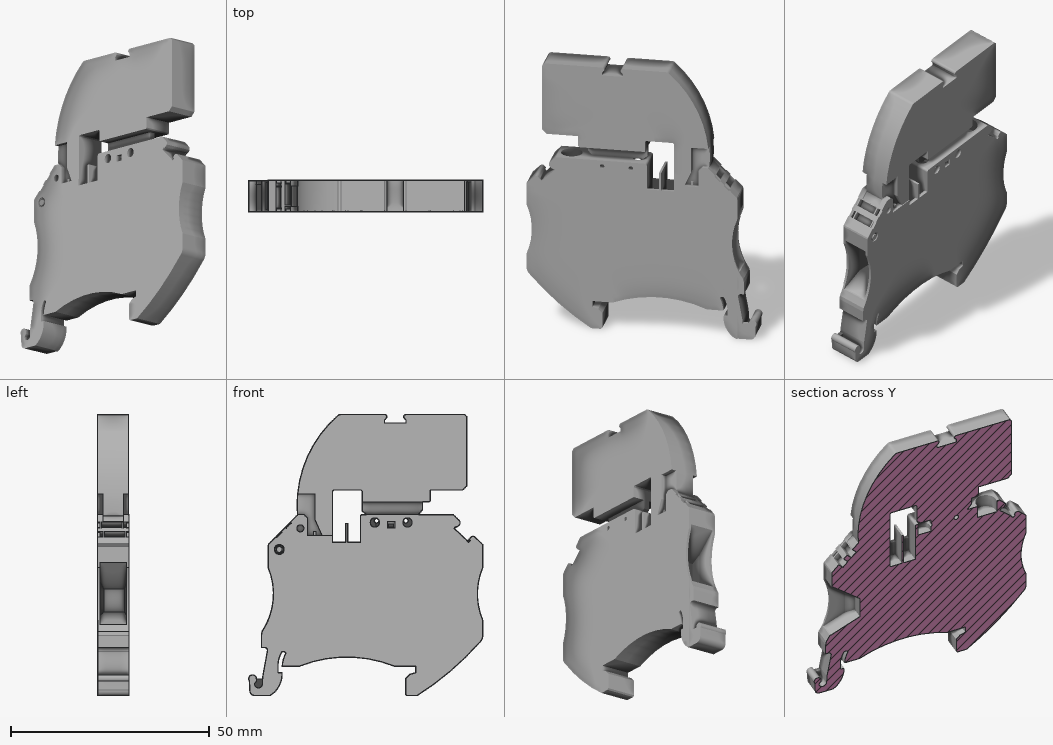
import cadquery as cq
import math

LENGTH = 58.9
DEPTH = 8.0
HEIGHT = 70.7
MID_Y = DEPTH / 2

RAIL_Z = 7.35
CATCH_Z = 5.8
SHOULDER_Z = 37.95
DECK_Z = 45.5
SEAT_Z = 40.3
WINDOW_Z = 38.6
PLUG_Z = 51.7
BOSS_Z = 48.7

SIDE_X = 4.9
LUG_X = 3.2
MARKER_TOP_X = 12.4
SEAT_X = 14.85
LEG_X = 21.15
WINDOW_X = 28.05
BOSS_X = 28.55

KNOB_RADIUS = 1.0
KNOB_Z = 4.25

HOLLOW_TOP_Z = 32.2
HOLLOW_BOTTOM_Z = 18.95
HOLLOW_MID_Z = (HOLLOW_TOP_Z + HOLLOW_BOTTOM_Z) / 2
HOLLOW_DEPTH = 1.35
HOLLOW_HALF = (HOLLOW_TOP_Z - HOLLOW_BOTTOM_Z) / 2
HOLLOW_RADIUS = (HOLLOW_HALF ** 2 + HOLLOW_DEPTH ** 2) / (2 * HOLLOW_DEPTH)
LUG_TOP_Z = 16.1
LUG_TOP_X = SIDE_X + HOLLOW_DEPTH - HOLLOW_RADIUS + math.sqrt(
    HOLLOW_RADIUS ** 2 - (HOLLOW_MID_Z - LUG_TOP_Z) ** 2
)

PLUG_INSET = 0.15
BACK_STEP = 0.15
CHEEK = 1.4


def plane_at(y):
    """XZ workplane at depth y."""
    return cq.Workplane("XZ", origin=(0, y, 0))


def thick(outline, thickness):
    """Extrude an XZ outline toward +Y."""
    return outline.extrude(-thickness)


def block(x0, x1, y0, y1, z0, z1):
    """Box given by its limits along each axis."""
    return cq.Workplane("XY").box(x1 - x0, y1 - y0, z1 - z0, centered=False).translate((x0, y0, z0))


def front_hole(x, z, diameter, depth):
    """Round cutter entering the front face."""
    return thick(plane_at(0).center(x, z).circle(diameter / 2), depth)


def make_housing():
    """Housing plate with its rail foot and spring hook."""
    knob_drop = 0.6
    knob_start_x = KNOB_RADIUS - math.sqrt(KNOB_RADIUS ** 2 - knob_drop ** 2)
    outline = (
        plane_at(0)
        .moveTo(SIDE_X, SHOULDER_Z - 0.3)
        .lineTo(SIDE_X + 0.15, SHOULDER_Z + 0.15)
        .lineTo(MARKER_TOP_X, DECK_Z)
        .lineTo(13.9, DECK_Z)
        .lineTo(SEAT_X, DECK_Z - 0.9)
        .lineTo(SEAT_X, SEAT_Z)
        .lineTo(LEG_X, SEAT_Z)
        .lineTo(LEG_X, WINDOW_Z)
        .lineTo(WINDOW_X, WINDOW_Z)
        .lineTo(WINDOW_X, DECK_Z - 0.6)
        .radiusArc((WINDOW_X + 0.6, DECK_Z), 0.6)
        .lineTo(51.45, DECK_Z)
        .lineTo(53.15, 43.8)
        .lineTo(53.15, 43.1)
        .lineTo(52.6, 42.55)
        .lineTo(51.7, 42.05)
        .lineTo(55.1, 38.9)
        .lineTo(55.85, 39.8)
        .threePointArc((56.4, 40.1), (56.9, 39.9))
        .lineTo(LENGTH, SHOULDER_Z)
        .lineTo(LENGTH, HOLLOW_TOP_Z)
        .threePointArc((LENGTH - HOLLOW_DEPTH, HOLLOW_MID_Z), (LENGTH, HOLLOW_BOTTOM_Z))
        .lineTo(LENGTH, 15.2)
        .threePointArc((58.7, 14.2), (58.05, 13.35))
        .threePointArc((51.05, 6.4), (42.35, 0))
        .lineTo(39.8, 0)
        .lineTo(39.45, 0.35)
        .lineTo(39.45, 4.3)
        .lineTo(40.5, 5.4)
        .lineTo(42.0, CATCH_Z)
        .lineTo(42.0, RAIL_Z)
        .lineTo(36.75, RAIL_Z)
        .threePointArc((24.7, 9.7), (12.65, RAIL_Z))
        .lineTo(8.4, RAIL_Z)
        .threePointArc((8.7, 9.05), (9.3, 10.7))
        .threePointArc((9.0, 11.0), (8.35, 10.95))
        .threePointArc((7.6, 9.25), (7.4, RAIL_Z))
        .lineTo(7.4, CATCH_Z)
        .lineTo(8.4, CATCH_Z)
        .threePointArc((7.5, 2.1), (5.4, 0))
        .lineTo(1.55, 0)
        .threePointArc((0.65, 0.4), (0.3, 1.4))
        .lineTo(knob_start_x, KNOB_Z - knob_drop)
        .threePointArc((KNOB_RADIUS, KNOB_Z + KNOB_RADIUS), (2 * KNOB_RADIUS, KNOB_Z))
        .lineTo(2 * KNOB_RADIUS, 3.6)
        .lineTo(1.5, 3.05)
        .threePointArc((2.3, 2.0), (3.45, 3.05))
        .lineTo(3.5, 4.9)
        .lineTo(4.7, 11.1)
        .threePointArc((4.6, 11.8), (4.0, 12.1))
        .lineTo(LUG_X, 12.1)
        .lineTo(LUG_X, 15.1)
        .lineTo(LUG_TOP_X, LUG_TOP_Z)
        .threePointArc((SIDE_X + HOLLOW_DEPTH, HOLLOW_MID_Z), (SIDE_X, HOLLOW_TOP_Z))
        .close()
    )
    housing = thick(outline, DEPTH)
    foot_back = block(0, SIDE_X, DEPTH - BACK_STEP, DEPTH, 0, SHOULDER_Z)
    return housing.cut(foot_back)


def make_hook_web():
    """Thin web that closes the spring hook at its back."""
    web = 1.0
    back = DEPTH - BACK_STEP
    return block(1.4, 3.5, back - web, back, 2.0, KNOB_Z)


def make_plug():
    """Plug head, boss and leg, set slightly behind the housing front."""
    outline = (
        plane_at(PLUG_INSET)
        .moveTo(12.3, SEAT_Z)
        .lineTo(12.3, 45.25)
        .threePointArc((16.0, 62.5), (22.4, 70.4))
        .threePointArc((22.75, 70.6), (23.2, HEIGHT))
        .lineTo(34.2, HEIGHT)
        .threePointArc((34.65, 70.5), (34.8, 70.0))
        .lineTo(34.2, 69.3)
        .lineTo(34.2, 68.6)
        .lineTo(39.5, 68.6)
        .lineTo(39.5, 69.3)
        .lineTo(38.95, 70.0)
        .threePointArc((39.1, 70.5), (39.5, HEIGHT))
        .lineTo(54.3, HEIGHT)
        .lineTo(54.85, HEIGHT - 0.6)
        .lineTo(54.85, 52.7)
        .lineTo(53.8, PLUG_Z)
        .lineTo(45.7, PLUG_Z)
        .lineTo(45.7, BOSS_Z + 0.3)
        .lineTo(45.4, BOSS_Z)
        .lineTo(BOSS_X, BOSS_Z)
        .lineTo(BOSS_X, PLUG_Z - 0.3)
        .lineTo(BOSS_X - 0.3, PLUG_Z)
        .lineTo(LEG_X + 0.3, PLUG_Z)
        .lineTo(LEG_X, PLUG_Z - 0.3)
        .lineTo(LEG_X, SEAT_Z)
        .close()
    )
    return thick(outline, DEPTH - PLUG_INSET)


def make_leg_relief():
    """Cutters that narrow the outer edge of the plug leg on both faces."""
    outside_x = 7.1
    inner_x = 16.7
    top_z = 50.75
    outline = (
        plane_at(0)
        .moveTo(outside_x, top_z)
        .lineTo(inner_x, top_z)
        .lineTo(inner_x, 44.25)
        .lineTo(18.45, SEAT_Z)
        .lineTo(outside_x, SEAT_Z)
        .close()
    )
    front = thick(outline, CHEEK)
    return front.union(front.translate((0, DEPTH - CHEEK, 0)))


def make_relief_tabs():
    """Small tabs on the notch floor beside the narrowed leg."""
    tab = block(16.25, 16.9, CHEEK / 2, CHEEK, SEAT_Z, SEAT_Z + 1.0)
    return tab.union(tab.mirror("XZ", (0, MID_Y, 0)))


def make_nose():
    """Thin nose under the plug boss, resting on the housing deck."""
    nose_thickness = 1.6
    right = 43.75
    corner = 1.05
    outline = (
        plane_at(MID_Y - nose_thickness / 2)
        .moveTo(BOSS_X, BOSS_Z)
        .lineTo(BOSS_X, DECK_Z + 0.85)
        .lineTo(BOSS_X + corner, DECK_Z)
        .lineTo(right - corner, DECK_Z)
        .lineTo(right, DECK_Z + 1.3)
        .lineTo(right, BOSS_Z)
        .close()
    )
    return thick(outline, nose_thickness)


def make_fin():
    """Upright contact fin in the window."""
    root = 4.25
    return block(24.4, 24.95, 0, DEPTH, WINDOW_Z - root, 43.3)


def make_wells():
    """Round wells sunk into the deck at both ends of the nose."""
    well_depth = 3.5
    left_diameter = 3.5
    right_diameter = 5.4
    deck = cq.Workplane("XY", origin=(0, MID_Y, DECK_Z))
    left_well = deck.center(30.7, 0).circle(left_diameter / 2).extrude(-well_depth)
    right_well = deck.center(48.1, 0).circle(right_diameter / 2).extrude(-well_depth)
    return left_well.union(right_well)


def make_window_pit():
    """Pit below the window floor that leaves thin walls at front and back."""
    wall = 0.85
    pit_depth = 4.25
    return block(LEG_X, WINDOW_X, wall, DEPTH - wall, WINDOW_Z - pit_depth, WINDOW_Z)


def make_wire_funnel():
    """Tapering wire entry in the left grip hollow."""
    end_x = 12.7
    taper_x = 10.45
    mouth_x = 4.8
    mouth_top_z = 33.5
    mouth_bottom_z = 17.9
    mouth_front_y = 0.65
    mouth_back_y = 7.35
    profile = (
        plane_at(0)
        .moveTo(0, mouth_top_z)
        .lineTo(mouth_x, mouth_top_z)
        .lineTo(end_x, 26.8)
        .lineTo(end_x, 21.1)
        .lineTo(mouth_x, mouth_bottom_z)
        .lineTo(0, mouth_bottom_z)
        .close()
    )
    plan = (
        cq.Workplane("XY")
        .moveTo(0, mouth_front_y)
        .lineTo(taper_x, mouth_front_y)
        .lineTo(end_x, 1.2)
        .lineTo(end_x, 6.35)
        .lineTo(taper_x, mouth_back_y)
        .lineTo(0, mouth_back_y)
        .close()
        .extrude(HEIGHT)
    )
    return thick(profile, DEPTH).intersect(plan)


def slope_cutter(x, width, depth, y0, y1):
    """Square-edged cutter sunk into the 45 degree marker face at position x."""
    slope_z = SHOULDER_Z + (x - SIDE_X) * (DECK_Z - SHOULDER_Z) / (MARKER_TOP_X - SIDE_X)
    tool = cq.Workplane("XY").box(width, y1 - y0, 2 * depth)
    return tool.rotate((0, 0, 0), (0, 1, 0), -45).translate((x, (y0 + y1) / 2, slope_z))


def make_marker_slots():
    """Two rows of marker slots: a long and a short slot each, with shallow steps at both ends."""
    slot_width = 1.85
    slot_depth = 1.7
    step_depth = 0.3
    rim = 0.7
    long_slot = (1.8, 7.0)
    short_slot = (rim, 1.4)
    upper_x = 9.8
    lower_x = 7.5

    cutters = cq.Workplane("XY")
    for y0, y1 in (long_slot, short_slot):
        cutters = cutters.union(slope_cutter(upper_x, slot_width, slot_depth, y0, y1))
        cutters = cutters.union(slope_cutter(lower_x, slot_width, slot_depth, DEPTH - y1, DEPTH - y0))
    for x in (upper_x, lower_x):
        cutters = cutters.union(slope_cutter(x, slot_width, step_depth, 0, rim))
        cutters = cutters.union(slope_cutter(x, slot_width, step_depth, DEPTH - rim, DEPTH))
    return cutters


def make_leg_bed():
    """Shallow bed in the marker face in front of the plug leg."""
    bed_x = 11.5
    bed_length = 2.55
    bed_depth = 0.2
    return slope_cutter(bed_x, bed_length, bed_depth, CHEEK, DEPTH - CHEEK)


def make_groove_undercuts():
    """Undercut corners of the right marker groove, closed by a thin back wall."""
    side = 0.7
    back_wall = 0.5
    length = DEPTH - back_wall
    corner = cq.Workplane("XY").box(side, length, side).rotate((0, 0, 0), (0, 1, 0), 45)
    upper = corner.translate((52.1, length / 2, 42.05))
    lower = corner.translate((55.3, length / 2, 39.0))
    return upper.union(lower)


def make_test_openings():
    """Openings in the front face just below the deck."""
    test_z = 43.55
    test_diameter = 2.3
    test_depth = 2.8
    outlet_diameter = 1.1
    outlet_offset = 0.4
    left_x = 31.75
    right_x = 39.95

    openings = cq.Workplane("XY")
    for x, inward in ((left_x, 1), (right_x, -1)):
        outlet_x = x + inward * outlet_offset
        openings = openings.union(front_hole(x, test_z, test_diameter, test_depth))
        openings = openings.union(front_hole(outlet_x, test_z + outlet_offset, outlet_diameter, DEPTH))

    latch = block(34.9, 36.75, 0, 1.05, 42.1, 43.75)
    latch_core = block(35.2, 36.5, 0, 2.1, 42.4, 43.2)
    return openings.union(latch).union(latch_core)


def make_pivot_marks():
    """Blind hole and ring groove near the left shoulder."""
    blind_hole = front_hole(13.0, 42.05, 1.8, 1.4)
    ring_x = 7.7
    ring_z = 36.75
    ring = front_hole(ring_x, ring_z, 2.5, 0.3).union(front_hole(ring_x, ring_z, 2.1, 0.7))
    ring = ring.cut(front_hole(ring_x, ring_z, 1.5, 0.7))
    return blind_hole.union(ring)


housing = make_housing().union(make_hook_web())
housing = housing.cut(make_wells())
housing = housing.cut(make_window_pit())
housing = housing.cut(make_wire_funnel())
housing = housing.cut(make_groove_undercuts())
housing = housing.cut(make_leg_bed())

plug = make_plug().cut(make_leg_relief())
plug = plug.union(make_nose())

result = housing.union(plug).union(make_fin()).union(make_relief_tabs())
result = result.cut(make_marker_slots())
result = result.cut(make_test_openings())
result = result.cut(make_pivot_marks())